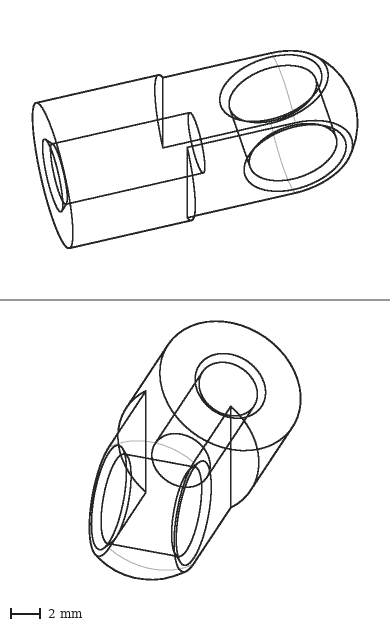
import cadquery as cq

length = 21.0
body_diameter = 10.0
body_radius = body_diameter / 2
eye_center_y = length - body_radius

eye_thickness = 6.0
flat_start_y = 8.5
eye_bore_diameter = 6.1
eye_bore_chamfer = 0.5

shank_hole_diameter = 4.14
shank_hole_mouth_diameter = 5.0
shank_hole_depth = 10.0
shank_hole_chamfer = (shank_hole_mouth_diameter - shank_hole_diameter) / 2


def domed_body():
    """Cylinder with a hemispherical end, starting at Y = 0."""
    dome_middle = body_radius * 0.5 ** 0.5
    return (
        cq.Workplane("XY")
        .lineTo(body_radius, 0)
        .lineTo(body_radius, eye_center_y)
        .threePointArc((dome_middle, eye_center_y + dome_middle), (0, length))
        .close()
        .revolve(360, (0, 0, 0), (0, 1, 0))
    )


def side_cut(side):
    """Block that leaves one flat face of the eye; side is -1 or 1."""
    cut_length = length - flat_start_y
    return cq.Workplane("XY").box(body_diameter, cut_length, body_diameter).translate(
        (side * (eye_thickness + body_diameter) / 2, flat_start_y + cut_length / 2, 0)
    )


def eye_bore():
    """Cross bore along X, widened by a chamfer at both flat faces."""
    half_thickness = eye_thickness / 2
    bore_radius = eye_bore_diameter / 2
    mouth_radius = bore_radius + eye_bore_chamfer
    chamfer_start = half_thickness - eye_bore_chamfer
    return (
        cq.Workplane("XY")
        .polyline([
            (-half_thickness, 0),
            (-half_thickness, mouth_radius),
            (-chamfer_start, bore_radius),
            (chamfer_start, bore_radius),
            (half_thickness, mouth_radius),
            (half_thickness, 0),
        ])
        .close()
        .revolve(360, (0, 0, 0), (1, 0, 0))
        .translate((0, eye_center_y, 0))
    )


def shank_hole():
    """Flat-bottomed hole along Y with a chamfered mouth."""
    hole_radius = shank_hole_diameter / 2
    return (
        cq.Workplane("XY")
        .polyline([
            (0, 0),
            (shank_hole_mouth_diameter / 2, 0),
            (hole_radius, shank_hole_chamfer),
            (hole_radius, shank_hole_depth),
            (0, shank_hole_depth),
        ])
        .close()
        .revolve(360, (0, 0, 0), (0, 1, 0))
    )


result = domed_body()
for side in (-1, 1):
    result = result.cut(side_cut(side))
result = result.cut(eye_bore()).cut(shank_hole())